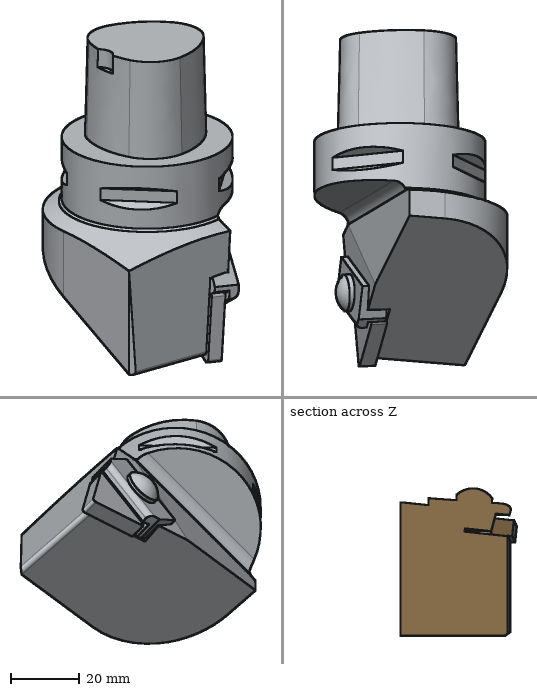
import cadquery as cq
import math


SHANK_HEIGHT = 30.0
SHANK_TAPER = math.degrees(math.atan(0.025))
LOBE_COUNT = 3
LOBE_PITCH = 360 / LOBE_COUNT
FIRST_LOBE_ANGLE = -30
LOBE_RADIUS = 12.5
LOBE_CENTER = 6.1
FLANK_REACH = 16.6
NOTCH_RADIUS = 4.7
NOTCH_BOTTOM = 14.0
NOTCH_DEPTH = 5.6

FLANGE_RADIUS = 50.0 / 2
FLANGE_HEIGHT = 19.35
FLARE_WIDTH = 0.8
FLARE_HEIGHT = 0.7
FLARE_RADIUS = FLANGE_RADIUS + FLARE_WIDTH
FLARE_Z = -FLANGE_HEIGHT - FLARE_HEIGHT
SLOT_COUNT = 4
FIRST_SLOT_ANGLE = 45
SLOT_DEPTH = 2.7
SLOT_FLOOR_WIDTH = 3.6
SLOT_CENTER_Z = -10.1
SLOT_WALL_ANGLE = 30

HEAD_LEFT = -27.0
HEAD_FRONT = -32.0
HEAD_CORNER_RADIUS = 28.0
HEAD_BACK = 6.9
HEAD_TOP_ANGLE = 15
SLOPE_ANGLE = 26.5
SLOPE_START_Z = -28.35
SIDE_X = 31.5
SIDE_Z = -25.2
SIDE_ANGLE = 3
HEAD_NOSE_RADIUS = 1.2
FRONT_CHAMFER_X = 1.6
FRONT_CHAMFER_Y = 1.2
CLEARANCE_ANGLE = 5
CLEARANCE_Z = -17.55
CLEARANCE_FILLET = 3.8

TIP_X = 35.0
TIP_Z = -60.0
INSERT_EDGE = 22.0
CORNER_HALF_ANGLE = 30
INSERT_THICKNESS = 4.8
INSERT_NOSE_RADIUS = 0.8
INSERT_TILT = 6
BISECTOR_ANGLE = 123
INSERT_HEIGHT = INSERT_EDGE * math.cos(math.radians(CORNER_HALF_ANGLE))
INSERT_CORNER = -INSERT_NOSE_RADIUS / math.sin(math.radians(CORNER_HALF_ANGLE))
INSERT_BACK = INSERT_CORNER + INSERT_HEIGHT

CLAMP_HALF_WIDTH = 11.9
CLAMP_LIP = 15.2
CLAMP_SHOULDER = 18.7
CLAMP_REAR = 29.2
POCKET_REAR = 21.6
CLAMP_FOOT_REAR = 22.7
CLAMP_SEAT = 1.8
CLAMP_TOP = 4.5
CLAMP_REAR_TOP = 3.8
CLAMP_FOOT_BOTTOM = -4.0
CLAMP_LIP_BOTTOM = 1.3
CLAMP_LIP_RADIUS = 1.8
SCREW_POSITION = 22.5
SCREW_RADIUS = 10.9 / 2
SCREW_RIM_TOP = 5.6
SCREW_TOP = 8.1

REACH = 135.0


def tan(angle):
    """Tangent of an angle in degrees."""
    return math.tan(math.radians(angle))


def polar(radius, angle):
    """Point at a radius and an angle in degrees."""
    return radius * math.cos(math.radians(angle)), radius * math.sin(math.radians(angle))


def insert_plane():
    """Plane on the rake face: X along the corner bisector, Z out of the face."""
    along_x, along_z = polar(1, BISECTOR_ANGLE)
    tilt = tan(INSERT_TILT)
    origin = (TIP_X - INSERT_NOSE_RADIUS, 0, TIP_Z + INSERT_NOSE_RADIUS)
    bisector = (along_x, tilt * (along_z - along_x), along_z)
    return cq.Plane(origin=origin, xDir=bisector, normal=(tilt, 1, -tilt))


RAKE = insert_plane()


def rake_block(start, end, bottom, top):
    """Wide block between two places on the bisector and two heights over the rake face."""
    return (
        cq.Workplane(RAKE)
        .workplane(offset=bottom)
        .center((start + end) / 2, 0)
        .rect(end - start, REACH)
        .extrude(top - bottom)
    )


def make_shank():
    """Tapered shank with three lobes and a notch in its top edge."""
    gap = FLANK_REACH - LOBE_RADIUS
    flank_center = (LOBE_CENTER**2 - gap**2) / (2 * gap - LOBE_CENTER)

    lobe_x, lobe_y = polar(LOBE_CENTER, FIRST_LOBE_ANGLE)
    center_span = math.hypot(lobe_x, lobe_y - flank_center)
    joint_x = lobe_x * (1 + LOBE_RADIUS / center_span)
    joint_y = lobe_y + (lobe_y - flank_center) * LOBE_RADIUS / center_span
    joint_radius = math.hypot(joint_x, joint_y)
    joint_angle = math.degrees(math.atan2(joint_y, joint_x))
    half_lobe = FIRST_LOBE_ANGLE - joint_angle

    outline = cq.Workplane("XY").moveTo(joint_x, joint_y)
    for lobe in range(LOBE_COUNT):
        lobe_angle = FIRST_LOBE_ANGLE + lobe * LOBE_PITCH
        flank_angle = lobe_angle + LOBE_PITCH / 2
        lobe_end = polar(joint_radius, lobe_angle + half_lobe)
        flank_end = polar(joint_radius, lobe_angle + LOBE_PITCH - half_lobe)
        outline = outline.threePointArc(polar(LOBE_CENTER + LOBE_RADIUS, lobe_angle), lobe_end)
        outline = outline.threePointArc(polar(FLANK_REACH, flank_angle), flank_end)
    shank = outline.close().extrude(SHANK_HEIGHT, taper=SHANK_TAPER)
    notch = (
        cq.Workplane("XY", origin=(0, 0, SHANK_HEIGHT - NOTCH_DEPTH))
        .center(0, -NOTCH_BOTTOM - NOTCH_RADIUS)
        .circle(NOTCH_RADIUS)
        .extrude(NOTCH_DEPTH)
    )
    return shank.cut(notch)


def make_flange():
    """Disc that flares out at its lower end into the cone of the head."""
    flange = (
        cq.Workplane("XZ")
        .lineTo(FLANGE_RADIUS, 0)
        .lineTo(FLANGE_RADIUS, -FLANGE_HEIGHT)
        .lineTo(FLARE_RADIUS, FLARE_Z)
        .lineTo(0, FLARE_Z)
        .close()
        .revolve()
    )
    floor = FLANGE_RADIUS - SLOT_DEPTH
    half_floor = SLOT_FLOOR_WIDTH / 2
    mouth = FLANGE_RADIUS + SLOT_DEPTH
    half_mouth = half_floor + (mouth - floor) * tan(SLOT_WALL_ANGLE)
    slot = (
        cq.Workplane("XZ")
        .polyline(
            [
                (floor, SLOT_CENTER_Z - half_floor),
                (mouth, SLOT_CENTER_Z - half_mouth),
                (mouth, SLOT_CENTER_Z + half_mouth),
                (floor, SLOT_CENTER_Z + half_floor),
            ]
        )
        .close()
        .extrude(FLANGE_RADIUS, both=True)
    )
    for index in range(SLOT_COUNT):
        flange = flange.cut(slot.rotate((0, 0, 0), (0, 0, 1), FIRST_SLOT_ANGLE + index * 360 / SLOT_COUNT))
    return flange


def make_head():
    """Head under the flange, with a sloping underside and a pocket for the insert."""
    side_slant = tan(SIDE_ANGLE)
    slope = tan(SLOPE_ANGLE)
    nose_drop = SLOPE_START_Z - SIDE_Z - slope * (SIDE_X - HEAD_LEFT)
    nose_z = SIDE_Z + nose_drop / (1 - slope * side_slant)
    nose_x = SIDE_X + (SIDE_Z - nose_z) * side_slant
    head = (
        cq.Workplane("XZ", origin=(0, HEAD_BACK, 0))
        .moveTo(HEAD_LEFT, 0)
        .lineTo(SIDE_X + SIDE_Z * side_slant, 0)
        .lineTo(nose_x, nose_z)
        .lineTo(HEAD_LEFT, SLOPE_START_Z)
        .close()
        .extrude(HEAD_BACK - HEAD_FRONT)
        .edges("|Y and >X")
        .fillet(HEAD_NOSE_RADIUS)
    )

    chamfer_run = 3
    chamfer_end_x = SIDE_X + chamfer_run * FRONT_CHAMFER_X
    chamfer_end_y = HEAD_FRONT + chamfer_run * FRONT_CHAMFER_Y
    plan = (
        cq.Workplane("XY", origin=(0, 0, -REACH))
        .moveTo(HEAD_LEFT, HEAD_BACK)
        .lineTo(HEAD_LEFT, HEAD_FRONT + HEAD_CORNER_RADIUS)
        .radiusArc((HEAD_LEFT + HEAD_CORNER_RADIUS, HEAD_FRONT), -HEAD_CORNER_RADIUS)
        .lineTo(SIDE_X, HEAD_FRONT)
        .lineTo(chamfer_end_x, chamfer_end_y)
        .lineTo(chamfer_end_x, HEAD_BACK)
        .close()
        .extrude(REACH)
    )

    cone_bottom = FLARE_Z - (REACH - FLARE_RADIUS) * tan(HEAD_TOP_ANGLE)
    cone = (
        cq.Workplane("XZ")
        .polyline([(0, FLARE_Z), (FLARE_RADIUS, FLARE_Z), (REACH, cone_bottom), (REACH, -REACH), (0, -REACH)])
        .close()
        .revolve()
    )

    head = head.intersect(plan).intersect(cone)
    head = head.cut(rake_block(-REACH, POCKET_REAR, -INSERT_THICKNESS, REACH))
    return head.cut(rake_block(-REACH, REACH, CLAMP_SEAT, REACH))


def make_clearance():
    """Chip clearance behind the head, with a sloping filleted roof under the flange."""
    return (
        cq.Workplane("YZ", origin=(-REACH, 0, 0))
        .moveTo(HEAD_BACK, -REACH)
        .lineTo(HEAD_BACK, CLEARANCE_Z)
        .lineTo(REACH, CLEARANCE_Z + (REACH - HEAD_BACK) * tan(CLEARANCE_ANGLE))
        .lineTo(REACH, -REACH)
        .close()
        .extrude(2 * REACH)
        .edges(cq.selectors.NearestToPointSelector((0, HEAD_BACK, CLEARANCE_Z)))
        .fillet(CLEARANCE_FILLET)
    )


def dome_middle():
    """Middle of the arc from the rim of the screw head to its crown."""
    rise = SCREW_TOP - SCREW_RIM_TOP
    dome_radius = (SCREW_RADIUS**2 + rise**2) / (2 * rise)
    half_angle = math.asin(SCREW_RADIUS / dome_radius) / 2
    return dome_radius * math.sin(half_angle), SCREW_TOP - dome_radius * (1 - math.cos(half_angle))


def make_clamp():
    """Clamp plate with a lip over the insert, a foot behind it and a domed screw head."""
    side_plane = cq.Plane(origin=RAKE.origin, xDir=RAKE.xDir, normal=-RAKE.yDir)
    lip_round_z = CLAMP_TOP - CLAMP_LIP_RADIUS
    clamp = (
        cq.Workplane(side_plane)
        .moveTo(INSERT_BACK, CLAMP_FOOT_BOTTOM)
        .lineTo(INSERT_BACK, CLAMP_LIP_BOTTOM)
        .lineTo(CLAMP_LIP, CLAMP_LIP_BOTTOM)
        .lineTo(CLAMP_LIP, lip_round_z)
        .radiusArc((CLAMP_LIP + CLAMP_LIP_RADIUS, CLAMP_TOP), CLAMP_LIP_RADIUS)
        .lineTo(CLAMP_REAR, CLAMP_REAR_TOP)
        .lineTo(CLAMP_REAR, CLAMP_SEAT)
        .lineTo(CLAMP_FOOT_REAR, CLAMP_SEAT)
        .lineTo(CLAMP_FOOT_REAR, CLAMP_FOOT_BOTTOM)
        .close()
        .extrude(CLAMP_HALF_WIDTH, both=True)
    )
    lip_half_width = CLAMP_HALF_WIDTH - (CLAMP_SHOULDER - CLAMP_LIP) * tan(CORNER_HALF_ANGLE)
    plan = (
        cq.Workplane(RAKE)
        .workplane(offset=CLAMP_FOOT_BOTTOM)
        .polyline(
            [
                (CLAMP_LIP, -lip_half_width),
                (CLAMP_SHOULDER, -CLAMP_HALF_WIDTH),
                (CLAMP_REAR, -CLAMP_HALF_WIDTH),
                (CLAMP_REAR, CLAMP_HALF_WIDTH),
                (CLAMP_SHOULDER, CLAMP_HALF_WIDTH),
                (CLAMP_LIP, lip_half_width),
            ]
        )
        .close()
        .extrude(CLAMP_TOP - CLAMP_FOOT_BOTTOM)
    )
    screw_head = (
        cq.Workplane(side_plane)
        .center(SCREW_POSITION, 0)
        .moveTo(0, CLAMP_SEAT)
        .lineTo(SCREW_RADIUS, CLAMP_SEAT)
        .lineTo(SCREW_RADIUS, SCREW_RIM_TOP)
        .threePointArc(dome_middle(), (0, SCREW_TOP))
        .close()
        .revolve(360, (0, 0), (0, 1))
    )
    return clamp.intersect(plan).union(screw_head)


def make_holder():
    """Shank, flange, head and clamp as one solid."""
    holder = make_flange().union(make_head()).cut(make_clearance())
    return holder.union(make_shank()).union(make_clamp())


def make_insert():
    """Triangular cutting insert with rounded corners."""
    half_edge = INSERT_EDGE / 2
    return (
        cq.Workplane(RAKE)
        .polyline([(INSERT_CORNER, 0), (INSERT_BACK, half_edge), (INSERT_BACK, -half_edge)])
        .close()
        .extrude(-INSERT_THICKNESS)
        .edges(cq.selectors.ParallelDirSelector(RAKE.zDir))
        .fillet(INSERT_NOSE_RADIUS)
    )


holder = make_holder()
insert = make_insert()
result = cq.Compound.makeCompound([holder.val(), insert.val()])